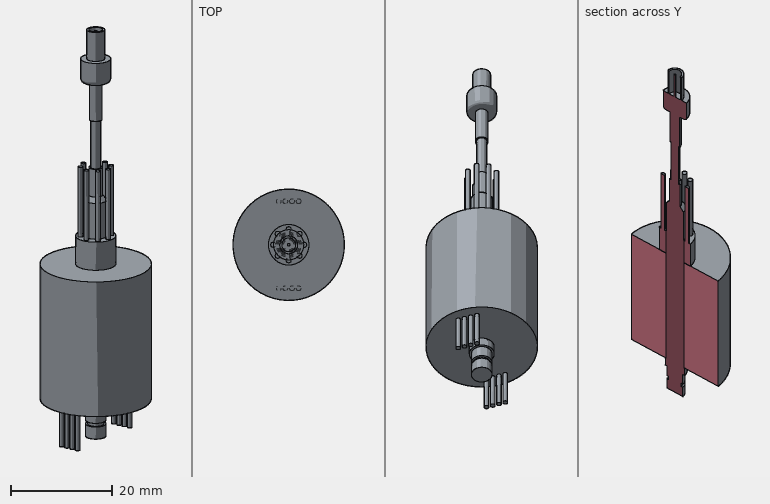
import cadquery as cq
import math

TOP_Z = 85.0
FERRULE_TOP_Z = 79.0
FERRULE_BOTTOM_Z = 74.1
UPPER_TUBE_BOTTOM_Z = 66.2
SLEEVE_TOP_Z = 56.3
WIRE_TOP_Z = 56.5
TAPER_TOP_Z = 50.5
TAPER_BOTTOM_Z = 49.5
COLLAR_TOP_Z = 42.0
DRUM_TOP_Z = 36.1
DRUM_BOTTOM_Z = 8.0
BOSS_BOTTOM_Z = 6.0
GROOVE_TOP_Z = 3.5
GROOVE_BOTTOM_Z = 2.7
PLUG_BOTTOM_Z = 0.2

DRUM_DIAMETER = 22.0
DRUM_R = DRUM_DIAMETER / 2
COLLAR_R = 4.0

TIP_R = 1.8
FERRULE_R = 3.0
UPPER_TUBE_R = 1.3
MID_TUBE_R = 1.0
SLEEVE_R = 1.4
SHAFT_R = 2.2
BOSS_R = 2.5
PLUG_R = 2.0
GROOVE_R = 1.6

FERRULE_FILLET_R = 0.8

SOCKET_R = 1.4
SOCKET_FLOOR_Z = FERRULE_TOP_Z
CONTACT_R = 0.25
CONTACT_RECESS = 0.25
CONTACT_TOP_Z = TOP_Z - CONTACT_RECESS

WIRE_R = 0.5
WIRE_COUNT = 8
WIRE_CIRCLE_R = 3.1

LEAD_R = 0.48
LEAD_ROW_Y = 8.6
LEADS_PER_ROW = 4
LEAD_ROW_LENGTH = 3.9
LEAD_PITCH = LEAD_ROW_LENGTH / (LEADS_PER_ROW - 1)


def cylinder(radius, bottom_z, top_z, x=0.0, y=0.0):
    """Upright cylinder between two heights."""
    return cq.Workplane("XY", origin=(x, y, bottom_z)).circle(radius).extrude(top_z - bottom_z)


def make_housing():
    """Drum bored for the shaft, with a row of leads on each side of the bottom."""
    housing = cylinder(DRUM_R, DRUM_BOTTOM_Z, DRUM_TOP_Z)
    housing = housing.cut(cylinder(SHAFT_R, DRUM_BOTTOM_Z, DRUM_TOP_Z))
    first_lead_x = -LEAD_ROW_LENGTH / 2
    for row_y in (-LEAD_ROW_Y, LEAD_ROW_Y):
        for i in range(LEADS_PER_ROW):
            lead_x = first_lead_x + i * LEAD_PITCH
            housing = housing.union(cylinder(LEAD_R, 0, DRUM_BOTTOM_Z, lead_x, row_y))
    return housing


def make_rotor():
    """Collar on top of the drum, carrying a ring of upright wires."""
    rotor = cylinder(COLLAR_R, DRUM_TOP_Z, COLLAR_TOP_Z)
    rotor = rotor.cut(cylinder(SHAFT_R, DRUM_TOP_Z, COLLAR_TOP_Z))
    for i in range(WIRE_COUNT):
        angle = 2 * math.pi * i / WIRE_COUNT
        wire_x = WIRE_CIRCLE_R * math.cos(angle)
        wire_y = WIRE_CIRCLE_R * math.sin(angle)
        rotor = rotor.union(cylinder(WIRE_R, COLLAR_TOP_Z, WIRE_TOP_Z, wire_x, wire_y))
    return rotor


def make_coax_shaft():
    """Stepped shaft running through drum and collar, from bottom plug to top socket."""
    profile = [
        (0, PLUG_BOTTOM_Z),
        (PLUG_R, PLUG_BOTTOM_Z),
        (PLUG_R, GROOVE_BOTTOM_Z),
        (GROOVE_R, GROOVE_BOTTOM_Z),
        (GROOVE_R, GROOVE_TOP_Z),
        (PLUG_R, GROOVE_TOP_Z),
        (PLUG_R, BOSS_BOTTOM_Z),
        (BOSS_R, BOSS_BOTTOM_Z),
        (BOSS_R, DRUM_BOTTOM_Z),
        (SHAFT_R, DRUM_BOTTOM_Z),
        (SHAFT_R, TAPER_BOTTOM_Z),
        (SLEEVE_R, TAPER_TOP_Z),
        (SLEEVE_R, SLEEVE_TOP_Z),
        (MID_TUBE_R, SLEEVE_TOP_Z),
        (MID_TUBE_R, UPPER_TUBE_BOTTOM_Z),
        (UPPER_TUBE_R, UPPER_TUBE_BOTTOM_Z),
        (UPPER_TUBE_R, FERRULE_BOTTOM_Z),
        (FERRULE_R, FERRULE_BOTTOM_Z),
        (FERRULE_R, FERRULE_TOP_Z),
        (TIP_R, FERRULE_TOP_Z),
        (TIP_R, TOP_Z),
        (SOCKET_R, TOP_Z),
        (SOCKET_R, SOCKET_FLOOR_Z),
        (CONTACT_R, SOCKET_FLOOR_Z),
        (CONTACT_R, CONTACT_TOP_Z),
        (0, CONTACT_TOP_Z),
    ]
    shaft = cq.Workplane("XZ").polyline(profile).close().revolve(360, (0, 0), (0, 1))
    widest_circles = cq.selectors.RadiusNthSelector(-1)
    return shaft.edges("%CIRCLE").edges(widest_circles).edges("<Z").fillet(FERRULE_FILLET_R)


housing = make_housing()
rotor = make_rotor()
coax_shaft = make_coax_shaft()

result = cq.Compound.makeCompound([housing.val(), rotor.val(), coax_shaft.val()])